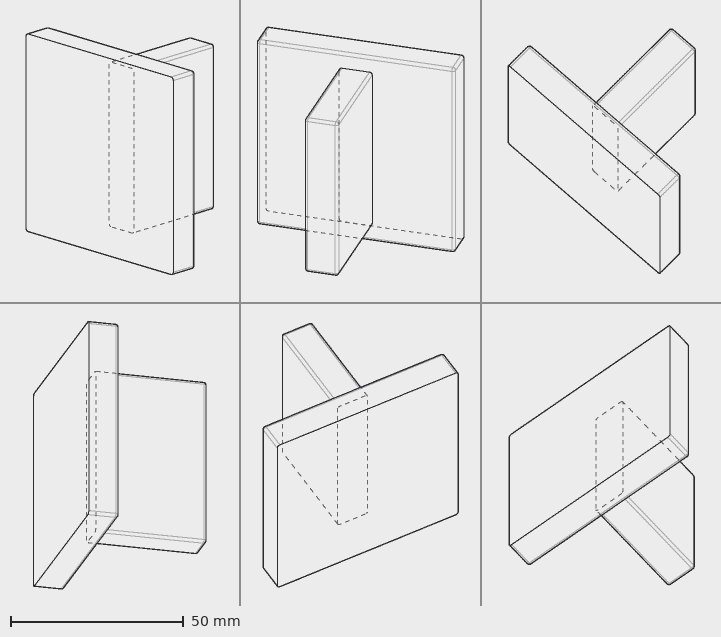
import cadquery as cq

plate_side = 60.0
plate_thickness = 9.0
plate_round = 0.9

overall_depth = 42.3
block_width = 10.0
block_height = 50.0
block_depth = overall_depth - plate_thickness
block_round = 0.85


def rounded_slab(width, depth, height, front_y, edge_round):
    """Box centred in X and Z, with every edge rounded except those of its -Y face."""
    slab = cq.Workplane("XY").box(width, depth, height, centered=(True, False, True))
    slab = slab.edges("not(<Y)").fillet(edge_round)
    return slab.translate((0, front_y, 0))


plate = rounded_slab(plate_side, plate_thickness, plate_side, 0, plate_round)
block = rounded_slab(block_width, block_depth, block_height, plate_thickness, block_round)

result = cq.Compound.makeCompound([plate.val(), block.val()])